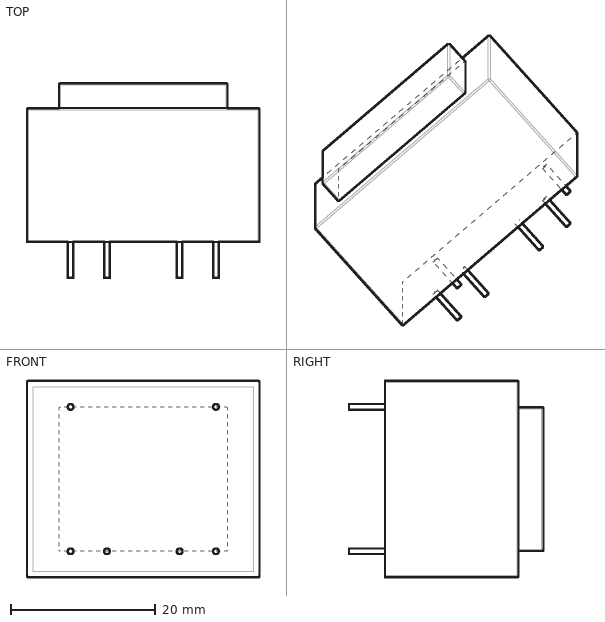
import cadquery as cq

case_width = 32.3
case_height = 27.3
case_depth = 18.55
edge_radius = 0.25

block_width = 23.42
block_height = 20.0
block_depth = 3.45

rim_width = 0.85
potting_depth = case_depth - rim_width

pin_diameter = 0.8
pin_length = 5.0
column_pitch = 5.05
row_offset = 10.0
upper_columns = (-2, 2)
lower_columns = (-2, -1, 1, 2)


def box_from(width, depth, height, front_y):
    """Box centred on X and Z whose -Y face lies at front_y."""
    box = cq.Workplane("XY").box(width, depth, height, centered=(True, False, True))
    return box.translate((0, front_y, 0))


def rounded_box(width, depth, height, front_y):
    """Box rounded on every edge except those of its -Y face."""
    return box_from(width, depth, height, front_y).edges("|Y or >Y").fillet(edge_radius)


def make_pins():
    positions = [(column * column_pitch, row_offset) for column in upper_columns]
    positions += [(column * column_pitch, -row_offset) for column in lower_columns]
    return cq.Workplane("XZ").pushPoints(positions).circle(pin_diameter / 2).extrude(pin_length)


case = rounded_box(case_width, case_depth, case_height, 0)
block = rounded_box(block_width, block_depth, block_height, case_depth)
potting = box_from(case_width - 2 * rim_width, potting_depth, case_height - 2 * rim_width, 0)

result = (
    case.union(block)
    .cut(potting)
    .union(potting, clean=False)
    .union(make_pins(), clean=False)
)